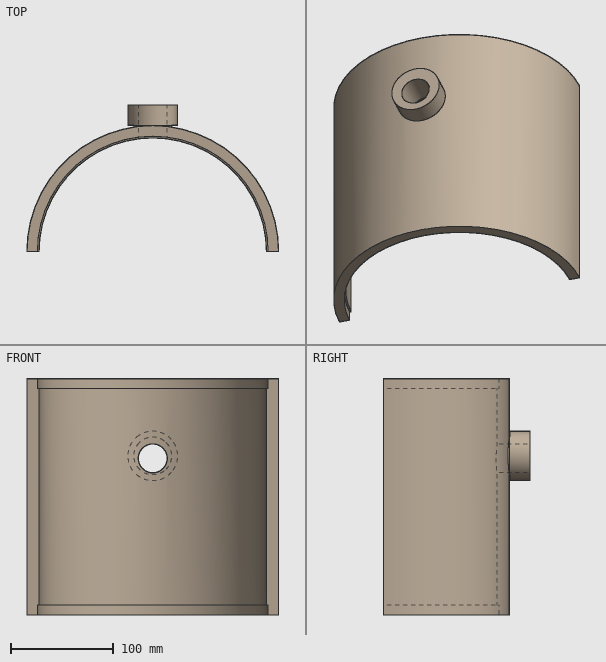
import cadquery as cq

outer_radius = 122.5
inner_radius = 110.5
height = 230.0

step_radius = 112.2
step_depth = 9.8

boss_diameter = 48.3
boss_end_y = 142.5
boss_base_y = 122.7
boss_center_z = 154.8

neck_diameter = 36.8

hole_diameter = 28.0
hole_center_z = 152.5


def upright_cylinder(radius, length, base_z=0.0):
    """Cylinder on the shell axis."""
    return cq.Workplane("XY").workplane(offset=base_z).circle(radius).extrude(length)


def radial_cylinder(diameter, center_z, start_y=0.0):
    """Cylinder along +Y from start_y to the boss end face."""
    plane = cq.Workplane("XZ", origin=(0, start_y, center_z))
    return plane.circle(diameter / 2).extrude(start_y - boss_end_y)


front_half = cq.Workplane("XY").box(
    2 * outer_radius, outer_radius, height, centered=(True, False, False)
).translate((0, -outer_radius, 0))
body = upright_cylinder(outer_radius, height).cut(front_half)
body = body.union(radial_cylinder(neck_diameter, boss_center_z))
body = body.union(radial_cylinder(boss_diameter, boss_center_z, boss_base_y))

body = body.cut(upright_cylinder(inner_radius, height))
for step_base_z in (0.0, height - step_depth):
    body = body.cut(upright_cylinder(step_radius, step_depth, step_base_z))

result = body.cut(radial_cylinder(hole_diameter, hole_center_z))